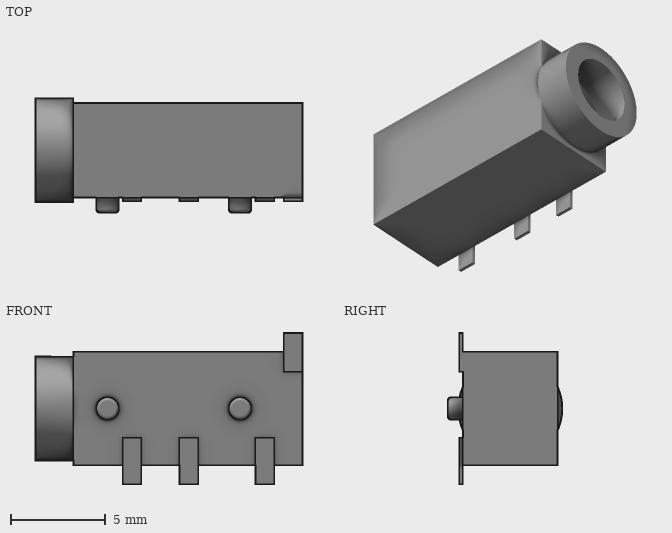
import cadquery as cq

total_length = 14.1
collar_length = 2.0
collar_diameter = 5.5
bore_diameter = 3.6
bore_depth = collar_length
body_width = 5.0
body_height = 6.0

peg_diameter = 1.2
peg_height = 0.8
peg_rounding = 0.2
peg_positions = (3.8, 10.8)

tab_width = 1.0
tab_thickness = 0.2
tab_overhang = 0.994
lower_tab_height = 2.47
upper_tab_height = 2.06
lower_tab_positions = (4.6, 7.6, 11.6)

side_face = -body_width / 2
tab_tip = body_height / 2 + tab_overhang


def x_cylinder(diameter, length):
    """Cylinder on the socket axis, starting at the mouth."""
    return cq.Workplane("YZ").circle(diameter / 2).extrude(length)


def locating_peg(x):
    """Peg with a rounded tip, standing out of the side face."""
    peg = (
        cq.Workplane("XZ", origin=(x, side_face, 0))
        .circle(peg_diameter / 2)
        .extrude(peg_height)
    )
    return peg.faces("<Y").edges().fillet(peg_rounding)


def solder_tab(x, bottom, height):
    """Flat contact lying on the side face."""
    return cq.Workplane("XY").box(tab_width, tab_thickness, height, centered=False).translate(
        (x, side_face - tab_thickness, bottom)
    )


body = (
    cq.Workplane("XY")
    .box(total_length - collar_length, body_width, body_height, centered=(False, True, True))
    .translate((collar_length, 0, 0))
)
result = body.union(x_cylinder(collar_diameter, collar_length))

result = result.cut(x_cylinder(bore_diameter, bore_depth))

for peg_x in peg_positions:
    result = result.union(locating_peg(peg_x))

for tab_x in lower_tab_positions:
    result = result.union(solder_tab(tab_x, -tab_tip, lower_tab_height))
upper_tab = solder_tab(total_length - tab_width, tab_tip - upper_tab_height, upper_tab_height)
result = result.union(upper_tab)